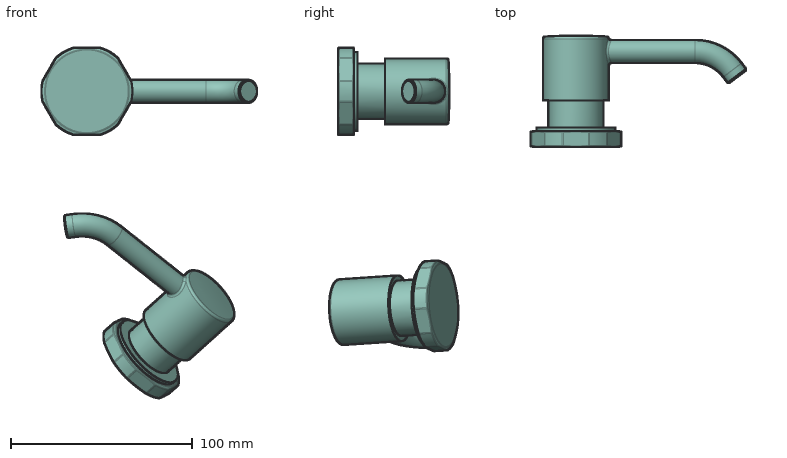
import cadquery as cq
import math


knob_radius = 25.1
knob_across_flats = 48.0
knob_thickness = 8.9
rim_face_radius = 23.0
rim_slope = 15
rim_outer_fillet = 0.5
rim_inner_fillet = 2.0
flat_edge_radius = 2.4
flat_count = 6

collar_radius = 21.7
collar_end = 10.8
neck_radius = 15.3
body_radius = 18.2
body_start = 25.8
body_end = 60.9
body_fillet = 1.4
crown_height = 0.5

spout_radius = 6.4
spout_offset = 52.6
spout_straight_end = 65.7
bend_radius = 25.7
bend_angle = 53
tip_length = 4.6
tip_chamfer = 0.6
spout_root_fillet = 1.4


def make_knob():
    """Disc with tapered rims, cut by a hexagon and eased where flats meet the round."""
    rim_height = (knob_radius - rim_face_radius) * math.tan(math.radians(rim_slope))
    disc = (
        cq.Workplane("XY")
        .lineTo(rim_face_radius, 0)
        .lineTo(knob_radius, rim_height)
        .lineTo(knob_radius, knob_thickness - rim_height)
        .lineTo(rim_face_radius, knob_thickness)
        .lineTo(0, knob_thickness)
        .close()
        .revolve(360, (0, 0, 0), (0, 1, 0))
    )
    knob = eased_prism().intersect(disc)
    knob = knob.edges("%HYPERBOLA").fillet(rim_outer_fillet)
    return knob.faces("<Y or >Y").edges().fillet(rim_inner_fillet)


def eased_prism():
    """Round bar with six flats, with every edge between flat and round filleted."""
    bar = cq.Workplane("XZ").circle(knob_radius).extrude(-knob_thickness)
    hexagon = (
        cq.Workplane("XZ")
        .transformed(rotate=(0, 0, 180 / flat_count))
        .polygon(flat_count, knob_across_flats, circumscribed=True)
        .extrude(-knob_thickness)
    )
    return bar.intersect(hexagon).edges("|Y").fillet(flat_edge_radius)


def cylinder(radius, start, end):
    """Cylinder on the Y axis between two distances from the front face."""
    return cq.Workplane("XZ", origin=(0, start, 0)).circle(radius).extrude(start - end)


def make_body():
    """Round body with a rounded back edge and a slightly domed back face."""
    fillet_mid = body_fillet * (1 - math.sqrt(0.5))
    crown_edge = body_radius - body_fillet
    crown_sphere = (crown_edge**2 + crown_height**2) / (2 * crown_height)
    crown_drop = crown_sphere - math.sqrt(crown_sphere**2 - (crown_edge / 2) ** 2)
    crown_mid = (crown_edge / 2, body_end + crown_height - crown_drop)
    return (
        cq.Workplane("XY")
        .moveTo(0, body_start)
        .lineTo(body_radius, body_start)
        .lineTo(body_radius, body_end - body_fillet)
        .threePointArc(
            (body_radius - fillet_mid, body_end - fillet_mid),
            (crown_edge, body_end),
        )
        .threePointArc(crown_mid, (0, body_end + crown_height))
        .close()
        .revolve(360, (0, 0, 0), (0, 1, 0))
    )


def make_spout():
    """Pipe from the body axis that bends toward the front and ends in a short straight tip."""
    turn = math.radians(bend_angle)
    bend_mid = (
        spout_straight_end + bend_radius * math.sin(turn / 2),
        spout_offset - bend_radius * (1 - math.cos(turn / 2)),
    )
    bend_end = (
        spout_straight_end + bend_radius * math.sin(turn),
        spout_offset - bend_radius * (1 - math.cos(turn)),
    )
    tip = (
        bend_end[0] + tip_length * math.cos(turn),
        bend_end[1] - tip_length * math.sin(turn),
    )
    path = (
        cq.Workplane("XY")
        .moveTo(0, spout_offset)
        .lineTo(spout_straight_end, spout_offset)
        .threePointArc(bend_mid, bend_end)
        .lineTo(*tip)
    )
    pipe = cq.Workplane("YZ", origin=(0, spout_offset, 0)).circle(spout_radius).sweep(path)
    return pipe.faces(">X").chamfer(tip_chamfer)


joint_zone = cq.selectors.BoxSelector(
    (body_radius / 2, body_start, -body_radius / 2),
    (body_radius, body_end, body_radius / 2),
)
handle = make_body().union(make_spout())
handle = handle.edges(joint_zone).fillet(spout_root_fillet)

result = (
    make_knob()
    .union(cylinder(collar_radius, knob_thickness, collar_end))
    .union(cylinder(neck_radius, collar_end, body_start))
    .union(handle)
)